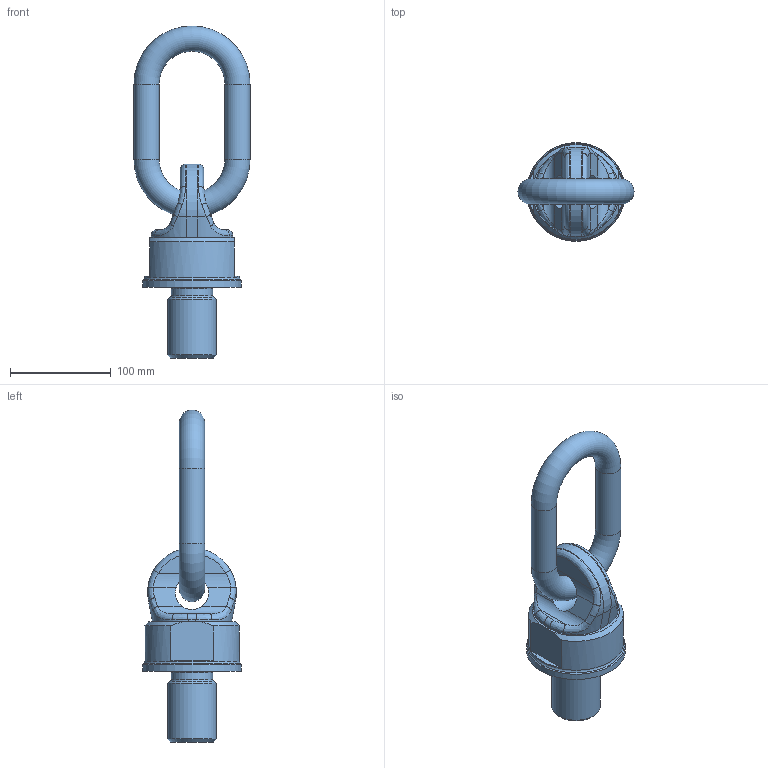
import math

import cadquery as cq


shank_radius = 24.0
shank_length = 70.0
shank_chamfer = 3.0
neck_radius = 20.5
neck_length = 12.0
neck_fillet = 1.5
neck_cone_height = 2.0

flange_radius = 49.0
flange_height = 7.5
flange_chamfer = 1.0

head_radius = 47.0
head_height = 49.0
head_chamfer = 4.0
head_root_height = 10.0
flat_half_distance = 42.0
flat_bottom = 11.0

eye_radius = 44.0
eye_center_z = 78.2
eye_hole_radius = 16.5
eye_hole_z = 77.8
eye_edge_fillet = 5.5
eye_half_thickness = 11.7
eye_foot_half_width = 40.4
rim_corner_radius = 35.0
eye_foot_top = 57.0
leg_draft = math.radians(11.0)
flank_angle = math.radians(20.3)
flank_straight_top = 83.5
flank_straight_bottom = 64.4
flank_upper_radius = 40.0

link_width = 115.0
link_wire = 25.0
link_straight = 75.0

overall_height = 328.99
link_top_z = overall_height - shank_length


def make_bolt_body():
    """Shank, undercut neck, flange and round head, revolved about Z."""
    neck_root = neck_radius + neck_fillet
    thread_start = -neck_length
    neck_bottom = thread_start + neck_cone_height
    flange_top_radius = flange_radius - flange_chamfer
    arc_bulge = neck_fillet * (1 - math.sqrt(0.5))
    root_width = flange_top_radius - head_radius
    root_rise = head_root_height - flange_height
    root_radius = (root_width**2 + root_rise**2) / (2 * root_width)
    profile = (
        cq.Workplane("XZ")
        .moveTo(0, -shank_length)
        .lineTo(shank_radius - shank_chamfer, -shank_length)
        .lineTo(shank_radius, -shank_length + shank_chamfer)
        .lineTo(shank_radius, thread_start)
        .lineTo(neck_root, neck_bottom)
        .threePointArc(
            (neck_radius + arc_bulge, neck_bottom + arc_bulge),
            (neck_radius, neck_bottom + neck_fillet),
        )
        .lineTo(neck_radius, -neck_fillet)
        .threePointArc((neck_radius + arc_bulge, -arc_bulge), (neck_root, 0))
        .lineTo(flange_radius, 0)
        .lineTo(flange_radius, flange_height - flange_chamfer)
        .lineTo(flange_top_radius, flange_height)
        .radiusArc((head_radius, head_root_height), root_radius)
        .lineTo(head_radius, head_height - head_chamfer)
        .lineTo(head_radius - head_chamfer, head_height)
        .lineTo(0, head_height)
        .close()
    )
    return profile.revolve(360, (0, 0, 0), (0, 1, 0))


def cut_wrench_flats(body):
    """Two parallel flats on the +X and -X sides of the head."""
    depth = head_radius - flat_half_distance
    for side in (1, -1):
        cutter = cq.Workplane("XY").box(
            depth, 2 * head_radius, head_height - flat_bottom, centered=(True, True, False)
        )
        body = body.cut(cutter.translate((side * (flat_half_distance + depth / 2), 0, flat_bottom)))
    return body


def rim_section(plane):
    """Half section of the eye blank, from the eye axis out to the rim.

    The rim is a narrow flat strip that rounds off into the flat +X and -X ends.
    """
    strip_half_width = eye_foot_half_width - rim_corner_radius
    shoulder = eye_radius - rim_corner_radius
    offset = rim_corner_radius * math.sqrt(0.5)
    arc_mid = (strip_half_width + offset, shoulder + offset)
    return (
        cq.Workplane(plane)
        .moveTo(-eye_foot_half_width, 0)
        .lineTo(-eye_foot_half_width, shoulder)
        .threePointArc((-arc_mid[0], arc_mid[1]), (-strip_half_width, eye_radius))
        .lineTo(strip_half_width, eye_radius)
        .threePointArc(arc_mid, (eye_foot_half_width, shoulder))
        .lineTo(eye_foot_half_width, 0)
        .close()
    )


def make_eye_blank():
    """Rim section turned about the eye axis, ending in two tangent legs that run into the head."""
    sweep_angle = 180 + 2 * math.degrees(leg_draft)
    leg_direction = (0, -math.sin(leg_draft), -math.cos(leg_draft))
    joint_plane = cq.Plane((0, 0, eye_center_z), (-1, 0, 0), leg_direction)
    dome = rim_section(joint_plane).revolve(sweep_angle, (0, 0, 0), (-1, 0, 0))
    leg_space = cq.Workplane("XY", origin=(0, 0, head_height)).box(
        2 * eye_foot_half_width, 2 * eye_radius, 2 * eye_radius, centered=(True, False, False)
    )
    leg = rim_section(joint_plane).extrude(eye_center_z).intersect(leg_space)
    return dome.union(leg).union(leg.mirror("XZ"))


def make_flank_cutter():
    """Everything outside the flared +X flank of the eye."""
    reach = 2 * eye_foot_half_width
    top = eye_center_z + 2 * eye_radius
    sine = math.sin(flank_angle)
    cosine = math.cos(flank_angle)
    slant_x = eye_half_thickness + flank_upper_radius * (1 - cosine)
    vertical_end = flank_straight_top + flank_upper_radius * sine
    half = flank_angle / 2
    upper_mid = (
        eye_half_thickness + flank_upper_radius * (1 - math.cos(half)),
        vertical_end - flank_upper_radius * math.sin(half),
    )
    lower_radius = (flank_straight_bottom - eye_foot_top) / (1 - sine)
    slant_end_x = slant_x + (flank_straight_top - flank_straight_bottom) * math.tan(flank_angle)
    center_x = slant_end_x + lower_radius * cosine
    center_z = eye_foot_top + lower_radius
    mid_angle = (flank_angle + math.pi / 2) / 2
    lower_mid = (
        center_x - lower_radius * math.cos(mid_angle),
        center_z - lower_radius * math.sin(mid_angle),
    )
    return (
        cq.Workplane("XZ")
        .moveTo(eye_half_thickness, top)
        .lineTo(eye_half_thickness, vertical_end)
        .threePointArc(upper_mid, (slant_x, flank_straight_top))
        .lineTo(slant_end_x, flank_straight_bottom)
        .threePointArc(lower_mid, (center_x, eye_foot_top))
        .lineTo(reach, eye_foot_top)
        .lineTo(reach, top)
        .close()
        .extrude(2 * eye_radius, both=True)
    )


def make_eye():
    """Blank with both flanks cut, its rim edges rounded and the link hole drilled."""
    flank = make_flank_cutter()
    eye = make_eye_blank().cut(flank).cut(flank.mirror("YZ"))
    for side in (1, -1):
        foot_edge = cq.selectors.NearestToPointSelector((side * eye_foot_half_width, 0, eye_foot_top))
        eye = eye.edges(foot_edge).fillet(eye_edge_fillet)
    hole = cq.Workplane("YZ").center(0, eye_hole_z).circle(eye_hole_radius)
    return eye.cut(hole.extrude(eye_foot_half_width, both=True))


def make_link():
    """Oval ring of round wire standing in the XZ plane."""
    wire_radius = link_wire / 2
    bend = link_width / 2 - wire_radius
    upper_z = link_top_z - link_width / 2
    lower_z = upper_z - link_straight
    path = (
        cq.Workplane("XZ")
        .moveTo(bend, lower_z)
        .lineTo(bend, upper_z)
        .threePointArc((0, upper_z + bend), (-bend, upper_z))
        .lineTo(-bend, lower_z)
        .threePointArc((0, lower_z - bend), (bend, lower_z))
        .close()
    )
    section = cq.Workplane("XY", origin=(bend, 0, lower_z)).circle(wire_radius)
    return section.sweep(path)


body = cut_wrench_flats(make_bolt_body())
result = body.union(make_eye()).union(make_link())